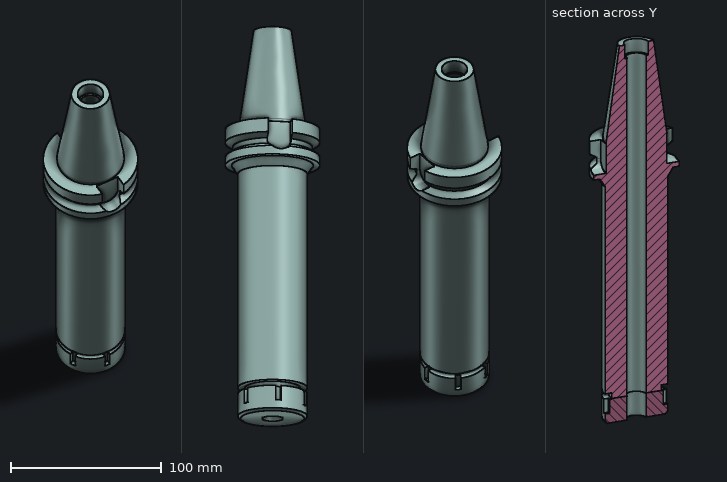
import cadquery as cq

total_length = 265.5

taper_length = 65.3
taper_top_radius = 12.7
gauge_radius = 22.3
gauge_land = 2.0

flange_diameter = 63.0
flange_radius = flange_diameter / 2
upper_rim_height = 9.3
groove_height = 9.5
groove_floor_radius = 26.5
groove_chamfer_height = 3.0
lower_rim_height = 5.8
cone_top_radius = 27.0
cone_height = 5.8

notch_width = 16.2
notch_depth = 21.0
notch_floor_distance = 22.5

body_radius = 23.0
neck_radius = 18.3
neck_length = 4.0

nut_radius = body_radius
nut_height = 17.0
nut_chamfer_height = 1.5
nut_chamfer_width = 1.9
slot_count = 6
slot_width = 3.7
slot_length = 9.8
slot_depth = 3.2

bore_radius = 7.0
counterbore_radius = 8.5
counterbore_depth = 9.5

gauge_z = total_length - taper_length
flange_top_z = gauge_z - gauge_land
groove_top_z = flange_top_z - upper_rim_height
groove_bottom_z = groove_top_z - groove_height
flange_bottom_z = groove_bottom_z - lower_rim_height
body_top_z = flange_bottom_z - cone_height
body_bottom_z = nut_height + neck_length


def drive_notch(side):
    """Round-ended cutter for one flange notch; side is +1 or -1 along X."""
    end_radius = notch_width / 2
    arc_center_z = flange_top_z - notch_depth + end_radius
    cutter_depth = flange_radius - notch_floor_distance + 2.7
    profile = (
        cq.Workplane("YZ", origin=(side * notch_floor_distance, 0, 0))
        .moveTo(-end_radius, flange_top_z)
        .lineTo(-end_radius, arc_center_z)
        .threePointArc((0, flange_top_z - notch_depth), (end_radius, arc_center_z))
        .lineTo(end_radius, flange_top_z)
        .close()
    )
    return profile.extrude(side * cutter_depth)


def make_holder():
    """Turned tool holder with its stepped bore and two drive notches."""
    outline = [
        (bore_radius, nut_height),
        (neck_radius, nut_height),
        (neck_radius, body_bottom_z),
        (body_radius, body_bottom_z),
        (body_radius, body_top_z),
        (cone_top_radius, flange_bottom_z),
        (flange_radius, flange_bottom_z),
        (flange_radius, groove_bottom_z),
        (groove_floor_radius, groove_bottom_z + groove_chamfer_height),
        (groove_floor_radius, groove_top_z - groove_chamfer_height),
        (flange_radius, groove_top_z),
        (flange_radius, flange_top_z),
        (gauge_radius, flange_top_z),
        (gauge_radius, gauge_z),
        (taper_top_radius, total_length),
        (counterbore_radius, total_length),
        (counterbore_radius, total_length - counterbore_depth),
        (bore_radius, total_length - counterbore_depth),
    ]
    holder = cq.Workplane("XZ").polyline(outline).close().revolve(360, (0, 0), (0, 1))
    for side in (-1, 1):
        holder = holder.cut(drive_notch(side))
    return holder


def make_nut():
    """Clamping nut with a chamfered base and spanner slots open at the top."""
    outline = [
        (bore_radius, 0),
        (nut_radius - nut_chamfer_width, 0),
        (nut_radius, nut_chamfer_height),
        (nut_radius, nut_height),
        (bore_radius, nut_height),
    ]
    nut = cq.Workplane("XZ").polyline(outline).close().revolve(360, (0, 0), (0, 1))
    slots = (
        cq.Workplane("XY", origin=(0, 0, nut_height - slot_length))
        .polarArray(nut_radius, 0, 360, slot_count)
        .rect(2 * slot_depth, slot_width)
        .extrude(slot_length)
    )
    return nut.cut(slots)


holder = make_holder()
nut = make_nut()
result = cq.Compound.makeCompound([holder.val(), nut.val()])